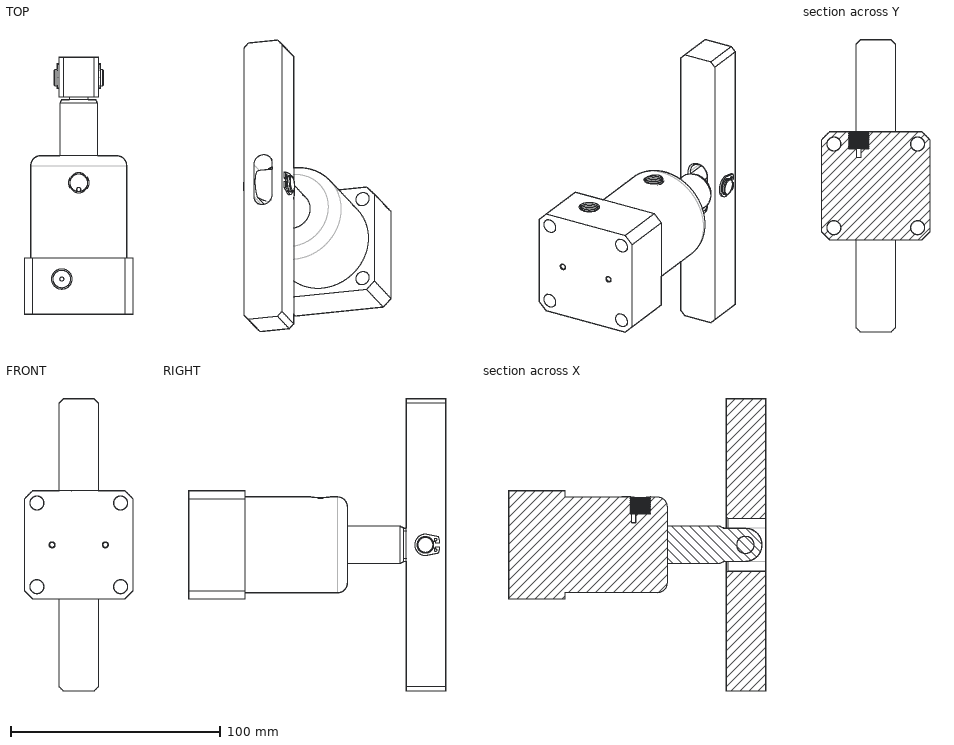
import cadquery as cq
import math


BASE_WIDTH = 52.0
BASE_LENGTH = 27.0
BASE_CORNER = 3.9
BARREL_DIA = 46.0
BARREL_FRONT = 76.0
BARREL_FILLET = 4.9
BOLT_SPACING = 40.0
BOLT_HOLE_DIA = 6.6

BACK_HOLE_SPACING = 25.5
BACK_HOLE_DIA = 2.4
BACK_HOLE_RIM_DIA = 3.0
BACK_HOLE_DEPTH = 5.6
DRILL_POINT_ANGLE = 118

PORT_MAJOR_DIA = 9.8
PORT_MINOR_DIA = 8.4
PORT_PITCH = 0.91
PORT_THREADS = 9
PASSAGE_DIA = 2.0
PASSAGE_DEPTH = 4.2
BASE_PORT_X = -8.1
BASE_PORT_Y = 17.0
BARREL_PORT_Y = 63.0
BARREL_PASSAGE_SHIFT = -3.2

ROD_DIA = 18.0
ROD_SHOULDER_Y = 102.8
ROD_CHAMFER_LENGTH = 1.7
ROD_END_DIA = 16.4
TONGUE_DIA = 16.0
TONGUE_THICKNESS = 9.0

ARM_WIDTH = 19.0
ARM_LENGTH = 140.0
ARM_FRONT = 123.0
ARM_CHAMFER = 2.2
ARM_SLOT_WIDTH = 9.1
ARM_SLOT_LENGTH = 25.2
ARM_SLOT_CHAMFER = 0.8

PIN_Y = 113.3
PIN_DIA = 8.0
PIN_LENGTH = 23.5
PIN_CHAMFER = 0.4
PIN_GROOVE_DIA = 7.4

RING_THICKNESS = 0.8
RING_RADIUS = 5.2
RING_OFFSET = 0.1
RING_LUG_REACH = 6.9
RING_LUG_CORNER = 6.3
RING_LUG_HALF_HEIGHT = 3.9
RING_GAP = 2.0
RING_RELIEF_REACH = 4.9
RING_RELIEF_WIDTH = 3.1
RING_EYE_DIA = 1.3
RING_EYE_REACH = 4.9
RING_EYE_SPACING = 5.0


def along_y(y):
    """Sketch plane facing +Y at the given y, with local axes (-X, Z)."""
    return cq.Workplane("XZ", origin=(0, y, 0)).transformed(rotate=(0, 180, 0))


def threaded_port(x, y, mouth_z, passage_shift):
    """Cutter for one port: ring-shaped thread grooves, a flat floor and a narrow passage."""
    major = PORT_MAJOR_DIA / 2
    minor = PORT_MINOR_DIA / 2
    depth = PORT_PITCH * PORT_THREADS
    outline = cq.Workplane("XZ").moveTo(0, PORT_PITCH).lineTo(major, PORT_PITCH).lineTo(major, 0)
    for turn in range(PORT_THREADS):
        crest_z = -PORT_PITCH * (turn + 0.5)
        root_z = -PORT_PITCH * (turn + 1)
        outline = outline.lineTo(minor, crest_z).lineTo(major, root_z)
    bore = outline.lineTo(0, -depth).close().revolve(360, (0, 0), (0, 1))
    passage = (
        cq.Workplane("XY", origin=(0, passage_shift, -depth - PASSAGE_DEPTH))
        .circle(PASSAGE_DIA / 2)
        .extrude(PASSAGE_DEPTH + PORT_PITCH)
    )
    return bore.union(passage).translate((x, y, mouth_z))


def back_hole():
    """Cutter for one blind hole with a chamfered rim and a drill point."""
    radius = BACK_HOLE_DIA / 2
    rim = BACK_HOLE_RIM_DIA / 2
    point = radius / math.tan(math.radians(DRILL_POINT_ANGLE / 2))
    return (
        cq.Workplane("XY")
        .polyline([
            (0, 0),
            (rim, 0),
            (radius, rim - radius),
            (radius, BACK_HOLE_DEPTH),
            (0, BACK_HOLE_DEPTH + point),
        ])
        .close()
        .revolve(360, (0, 0), (0, 1))
    )


def make_housing():
    base = (
        along_y(0).rect(BASE_WIDTH, BASE_WIDTH).extrude(BASE_LENGTH)
        .edges("|Y").chamfer(BASE_CORNER)
    )
    bolt_holes = (
        along_y(0).rect(BOLT_SPACING, BOLT_SPACING, forConstruction=True).vertices()
        .circle(BOLT_HOLE_DIA / 2).extrude(BASE_LENGTH)
    )
    barrel = (
        along_y(BASE_LENGTH).circle(BARREL_DIA / 2).extrude(BARREL_FRONT - BASE_LENGTH)
        .faces(">Y").edges().fillet(BARREL_FILLET)
    )
    body = base.cut(bolt_holes).union(barrel)
    for side in (-1, 1):
        body = body.cut(back_hole().translate((side * BACK_HOLE_SPACING / 2, 0, 0)))
    body = body.cut(threaded_port(BASE_PORT_X, BASE_PORT_Y, BASE_WIDTH / 2, 0))
    return body.cut(threaded_port(0, BARREL_PORT_Y, BARREL_DIA / 2, BARREL_PASSAGE_SHIFT))


def cross_cylinder(diameter, length):
    """Cylinder on the pin axis, centred on X = 0."""
    return (
        cq.Workplane("YZ", origin=(-length / 2, PIN_Y, 0))
        .circle(diameter / 2)
        .extrude(length)
    )


def make_rod():
    shank = along_y(BARREL_FRONT).circle(ROD_DIA / 2).extrude(ROD_SHOULDER_Y - BARREL_FRONT)
    shank = shank.faces(">Y").edges().chamfer(ROD_CHAMFER_LENGTH, (ROD_DIA - ROD_END_DIA) / 2)
    tongue_radius = TONGUE_DIA / 2
    tongue_length = PIN_Y + tongue_radius - ROD_SHOULDER_Y
    neck = along_y(ROD_SHOULDER_Y).circle(tongue_radius).extrude(PIN_Y - ROD_SHOULDER_Y)
    nose_blank = along_y(PIN_Y).circle(tongue_radius).extrude(tongue_radius)
    nose = nose_blank.intersect(cross_cylinder(TONGUE_DIA, TONGUE_DIA))
    flats = along_y(ROD_SHOULDER_Y).rect(TONGUE_THICKNESS, TONGUE_DIA).extrude(tongue_length)
    tongue = neck.union(nose).intersect(flats)
    return shank.union(tongue).cut(cross_cylinder(PIN_DIA, TONGUE_DIA))


def make_arm():
    bar = (
        cq.Workplane("XY")
        .box(ARM_WIDTH, ARM_WIDTH, ARM_LENGTH)
        .faces("<Z or >Z").edges("|Y").chamfer(ARM_CHAMFER)
        .translate((0, ARM_FRONT - ARM_WIDTH / 2, 0))
    )
    slot = (
        along_y(ARM_FRONT - ARM_WIDTH)
        .slot2D(ARM_SLOT_LENGTH, ARM_SLOT_WIDTH, 90)
        .extrude(ARM_WIDTH)
    )
    mouth = (
        along_y(ARM_FRONT - ARM_WIDTH)
        .slot2D(ARM_SLOT_LENGTH + 2 * ARM_SLOT_CHAMFER, ARM_SLOT_WIDTH + 2 * ARM_SLOT_CHAMFER, 90)
        .extrude(ARM_SLOT_CHAMFER, taper=45)
    )
    return bar.cut(slot).cut(mouth).cut(cross_cylinder(PIN_DIA, ARM_WIDTH))


def make_pin():
    pin = cross_cylinder(PIN_DIA, PIN_LENGTH).faces("<X or >X").edges().chamfer(PIN_CHAMFER)
    groove_span = ARM_WIDTH + 2 * RING_THICKNESS
    sleeve = cross_cylinder(PIN_DIA, groove_span).cut(cross_cylinder(PIN_GROOVE_DIA, groove_span))
    grooves = sleeve.cut(cross_cylinder(PIN_DIA, ARM_WIDTH))
    return pin.cut(grooves)


def make_ring(side):
    """Open retaining ring with two eyed lugs toward +Y, on the -X (-1) or +X (+1) side."""
    inner_x = ARM_WIDTH / 2
    start_x = inner_x if side > 0 else -inner_x - RING_THICKNESS
    plane = cq.Workplane("YZ", origin=(start_x, PIN_Y, 0))
    ring = (
        plane.moveTo(RING_OFFSET, RING_RADIUS)
        .lineTo(RING_LUG_CORNER, RING_LUG_HALF_HEIGHT)
        .threePointArc((RING_LUG_REACH, 0), (RING_LUG_CORNER, -RING_LUG_HALF_HEIGHT))
        .lineTo(RING_OFFSET, -RING_RADIUS)
        .threePointArc((RING_OFFSET - RING_RADIUS, 0), (RING_OFFSET, RING_RADIUS))
        .close()
        .extrude(RING_THICKNESS)
    )
    bore = plane.circle(PIN_GROOVE_DIA / 2).extrude(RING_THICKNESS)
    gap = plane.center(RING_LUG_REACH / 2, 0).rect(RING_LUG_REACH, RING_GAP).extrude(RING_THICKNESS)
    relief = (
        plane.center(RING_RELIEF_REACH / 2, 0)
        .rect(RING_RELIEF_REACH, RING_RELIEF_WIDTH)
        .extrude(RING_THICKNESS)
    )
    eyes = (
        plane.pushPoints([(RING_EYE_REACH, end * RING_EYE_SPACING / 2) for end in (-1, 1)])
        .circle(RING_EYE_DIA / 2)
        .extrude(RING_THICKNESS)
    )
    return ring.cut(bore).cut(gap).cut(relief).cut(eyes)


housing = make_housing()
rod = make_rod()
arm = make_arm()
pin = make_pin()
rings = [make_ring(side) for side in (-1, 1)]

result = cq.Compound.makeCompound([
    housing.val(),
    rod.val(),
    arm.val(),
    pin.val(),
    *[ring.val() for ring in rings],
])